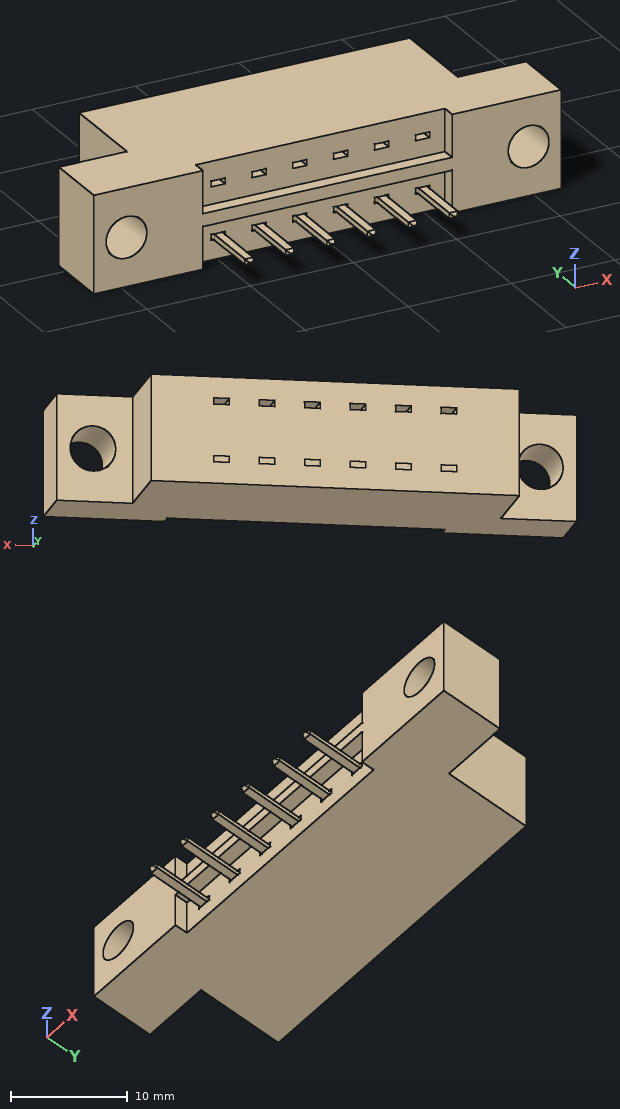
import cadquery as cq

length = 45.3
height = 9.4
overall_depth = 20.03
body_length = 32.1
body_depth = 15.25
ear_depth = 6.45

mount_hole_diameter = 3.95
mount_hole_spacing = 38.95

recess_length = 24.15
recess_depth = 1.3
bar_height = 1.22
recess_height = (height - bar_height) / 2

contacts_per_row = 6
row_length = 19.8
pitch = row_length / (contacts_per_row - 1)
row_spacing = 5.07
cavity_width = 1.35
cavity_height = 0.55

pin_width = 0.8
pin_projection = overall_depth - body_depth
tip_length = 0.4
tip_width = 0.35
tip_thickness = 0.1
shoulder_length = 0.85

upper_row_z = row_spacing / 2
lower_row_z = -row_spacing / 2
contact_xs = [i * pitch - row_length / 2 for i in range(contacts_per_row)]


def box(size_x, size_y, size_z, x=0, z=0):
    """Box centred on x and z whose front face lies at y = 0."""
    block = cq.Workplane("XY").box(size_x, size_y, size_z, centered=(True, False, True))
    return block.translate((x, 0, z))


def make_housing():
    """T-shaped block with ear holes, front recesses and contact cavities."""
    housing = box(length, ear_depth, height).union(box(body_length, body_depth, height))

    for x in (-mount_hole_spacing / 2, mount_hole_spacing / 2):
        hole = cq.Workplane("XZ").center(x, 0).circle(mount_hole_diameter / 2).extrude(-ear_depth)
        housing = housing.cut(hole)

    recess_z = (bar_height + recess_height) / 2
    for z in (-recess_z, recess_z):
        housing = housing.cut(box(recess_length, recess_depth, recess_height, z=z))

    for z in (lower_row_z, upper_row_z):
        for x in contact_xs:
            housing = housing.cut(box(cavity_width, body_depth, cavity_height, x=x, z=z))

    return housing


def make_contact(x):
    """One contact in the lower row, running from the rear of the housing to the pin tip."""
    shoulder_end_y = recess_depth + shoulder_length
    tip_start_y = tip_length - pin_projection

    outline = (
        cq.Workplane("XY")
        .moveTo(-pin_width / 2, tip_start_y)
        .lineTo(-pin_width / 2, recess_depth)
        .lineTo(-cavity_width / 2, shoulder_end_y)
        .lineTo(-cavity_width / 2, body_depth)
        .lineTo(cavity_width / 2, body_depth)
        .lineTo(cavity_width / 2, shoulder_end_y)
        .lineTo(pin_width / 2, recess_depth)
        .lineTo(pin_width / 2, tip_start_y)
        .close()
    )
    stem = outline.extrude(cavity_height / 2, both=True)

    tip = (
        cq.Workplane("XZ", origin=(0, tip_start_y, 0))
        .rect(pin_width, cavity_height)
        .workplane(offset=tip_length)
        .rect(tip_width, tip_thickness)
        .loft(ruled=True)
    )
    return stem.union(tip).translate((x, 0, lower_row_z))


housing = make_housing()
contacts = [make_contact(x) for x in contact_xs]

result = cq.Compound.makeCompound([housing.val(), *[contact.val() for contact in contacts]])